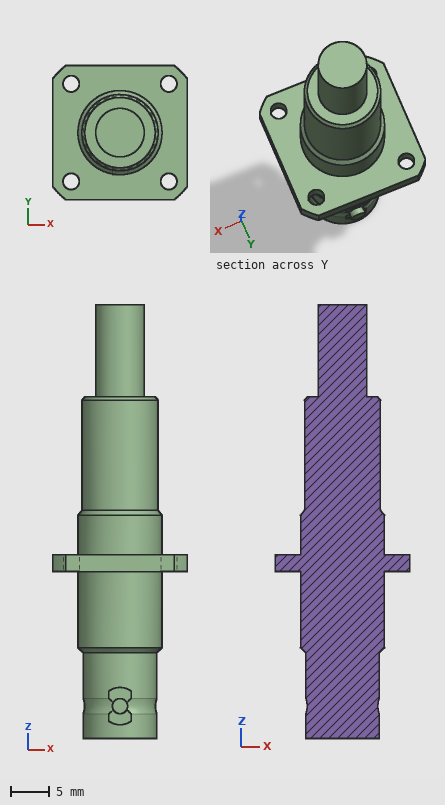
import cadquery as cq

total_height = 56.4
nose_radius = 4.8
barrel_radius = 5.45
barrel_diameter = 2 * barrel_radius
sleeve_radius = 4.95
sleeve_rim_radius = 4.55
rod_radius = 3.15

nose_top = 11.15
barrel_bottom = 11.8
barrel_shoulder = 29.05
sleeve_bottom = 29.65
sleeve_rim = 44.0
sleeve_top = 44.45

groove_center = 4.25
groove_width = 2.05
groove_depth = 0.15
groove_bottom = groove_center - groove_width / 2
groove_top = groove_center + groove_width / 2

pin_diameter = 2.0
recess_diameter = 4.85
recess_floor = 4.55

flange_side = 17.5
flange_bottom = 21.7
flange_thickness = 2.2
corner_circle_diameter = 22.45
hole_spacing = 12.7
hole_diameter = 2.1


def make_body():
    return (
        cq.Workplane("XZ")
        .lineTo(nose_radius, 0)
        .lineTo(nose_radius, groove_bottom)
        .threePointArc((nose_radius - groove_depth, groove_center), (nose_radius, groove_top))
        .lineTo(nose_radius, nose_top)
        .lineTo(barrel_radius, barrel_bottom)
        .lineTo(barrel_radius, barrel_shoulder)
        .lineTo(sleeve_radius, sleeve_bottom)
        .lineTo(sleeve_radius, sleeve_rim)
        .lineTo(sleeve_rim_radius, sleeve_top)
        .lineTo(rod_radius, sleeve_top)
        .lineTo(rod_radius, total_height)
        .lineTo(0, total_height)
        .close()
        .revolve(360, (0, 0, 0), (0, 1, 0))
    )


def make_flange():
    plate = (
        cq.Workplane("XY")
        .workplane(offset=flange_bottom)
        .rect(flange_side, flange_side)
        .extrude(flange_thickness)
        .faces(">Z")
        .workplane()
        .rect(hole_spacing, hole_spacing, forConstruction=True)
        .vertices()
        .hole(hole_diameter)
    )
    corner_disc = (
        cq.Workplane("XY")
        .workplane(offset=flange_bottom)
        .circle(corner_circle_diameter / 2)
        .extrude(flange_thickness)
    )
    return plate.intersect(corner_disc)


def cross_cylinder(diameter, start, length, direction):
    """Cylinder along Y at groove height, running outward from the given distance off the axis."""
    return cq.Workplane(
        cq.Solid.makeCylinder(
            diameter / 2,
            length,
            cq.Vector(0, direction * start, groove_center),
            cq.Vector(0, direction, 0),
        )
    )


result = make_body()
for side in (-1, 1):
    result = result.cut(cross_cylinder(recess_diameter, recess_floor, nose_radius, side))
pins = cross_cylinder(pin_diameter, -barrel_radius, barrel_diameter, 1)
result = result.union(pins).union(make_flange())